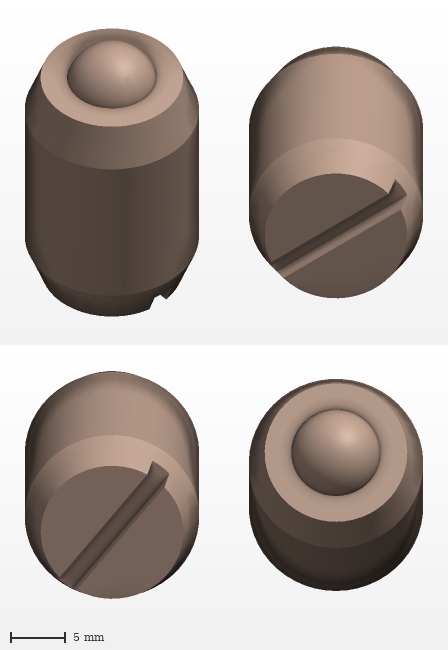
import cadquery as cq
import math

overall_height = 27.1
housing_diameter = 16.0
housing_height = 23.98
taper_height = 4.0
taper_angle = 20.0
slot_width = 2.0
slot_depth = 2.0
ball_diameter = 8.5
cup_diameter = 9.75
cup_floor = 0.8

housing_radius = housing_diameter / 2
end_radius = housing_radius - taper_height * math.tan(math.radians(taper_angle))
ball_center_z = overall_height - ball_diameter / 2
cup_bottom_z = overall_height - ball_diameter - cup_floor
cup_height = housing_height - cup_bottom_z


def make_ball():
    """Ball standing proud of the housing's upper face."""
    return cq.Workplane("XY").sphere(ball_diameter / 2).translate((0, 0, ball_center_z))


def make_cup_blank():
    """Solid cylinder that fills the recess in the housing."""
    return cq.Workplane("XY").workplane(offset=cup_bottom_z).circle(cup_diameter / 2).extrude(cup_height)


def make_cup():
    """Bearing cup whose spherical seat wraps past the ball's equator."""
    return make_cup_blank().cut(make_ball())


def make_housing():
    """Cylinder tapered at both ends, with a driver slot below and a cup recess above."""
    body = (
        cq.Workplane("XZ")
        .moveTo(0, 0)
        .lineTo(end_radius, 0)
        .lineTo(housing_radius, taper_height)
        .lineTo(housing_radius, housing_height - taper_height)
        .lineTo(end_radius, housing_height)
        .lineTo(0, housing_height)
        .close()
        .revolve(360, (0, 0, 0), (0, 1, 0))
    )
    driver_slot = cq.Workplane("XY").box(
        housing_diameter, slot_width, slot_depth, centered=(True, True, False)
    )
    return body.cut(driver_slot).cut(make_cup_blank())


housing = make_housing()
cup = make_cup()
ball = make_ball()

result = cq.Compound.makeCompound([housing.val(), cup.val(), ball.val()])